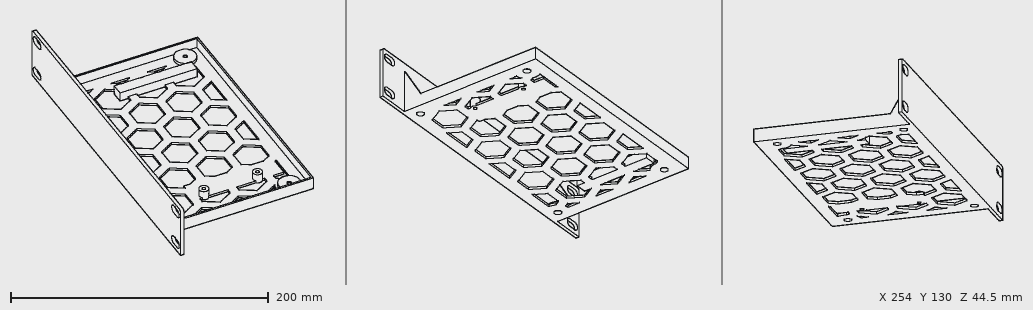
import cadquery as cq
import math

PANEL_WIDTH = 254.0
PANEL_HEIGHT = 44.5
PANEL_THICKNESS = 3.0
PANEL_CORNER_RADIUS = 2.0

SLOT_LENGTH = 13.0
SLOT_DIAMETER = 6.9
SLOT_INSET = 8.6
SLOT_LOW_Z = 7.4
SLOT_HIGH_Z = 37.5

TRAY_WIDTH = 198.0
TRAY_BACK = 130.0
WALL_HEIGHT = 10.7
WALL_THICKNESS = 1.5
FLOOR_THICKNESS = 2.0
GUSSET_BACK = 18.5
GUSSET_TOP = 37.0

HEX_FLATS = 24.5
HEX_PITCH = 32.0
HEX_COLUMN_PITCH = HEX_PITCH * math.cos(math.radians(30))
HEX_COLUMNS = 8
HEX_ROWS = 5
VENT_WIDTH = 175.3
VENT_FRONT = 10.5
VENT_BACK = 119.5
VENT_CENTRE = (VENT_FRONT + VENT_BACK) / 2

BOSS_DIAMETER = 18.0
BOSS_LAND_DIAMETER = 22.0
BOSS_HOLE_DIAMETER = 3.3
BOSS_TOP = 4.5
SCREW_HEAD_DIAMETER = 6.0
SCREW_HEAD_DEPTH = 3.5
BOSS_X = 89.0
BOSS_FRONT_Y = 11.0
BOSS_BACK_Y = 114.0
BOSS_CENTRES = [(x, y) for x in (-BOSS_X, BOSS_X) for y in (BOSS_FRONT_Y, BOSS_BACK_Y)]

STANDOFF_DIAMETER = 8.0
STANDOFF_HOLE_DIAMETER = 2.8
STANDOFF_TOP = 8.1
STANDOFF_X = 69.5
STANDOFF_CENTRES = [(STANDOFF_X, 49.5), (STANDOFF_X, 96.3)]
PATCH_X = (52.5, 72.5)
PATCH_Y = (40.6, 117.9)

BAR_X = (-76.7, -66.8)
BAR_Y = (46.0, 113.3)
BAR_TOP = 8.1


def block(x_range, y_range, z_range):
    """Box spanning the given ranges."""
    size = [high - low for low, high in (x_range, y_range, z_range)]
    corner = (x_range[0], y_range[0], z_range[0])
    return cq.Workplane("XY").box(*size, centered=False).translate(corner)


def cylinders(centres, diameter, height):
    """Upright cylinders rising from the level of the tray underside."""
    return cq.Workplane("XY").pushPoints(centres).circle(diameter / 2).extrude(height)


def front_panel():
    """Panel with rounded upper corners and four rack slots."""
    panel = block((-PANEL_WIDTH / 2, PANEL_WIDTH / 2), (0, PANEL_THICKNESS), (0, PANEL_HEIGHT))
    panel = panel.edges("|Y and >Z").fillet(PANEL_CORNER_RADIUS)
    slot_x = PANEL_WIDTH / 2 - SLOT_INSET
    slot_centres = [(x, z) for x in (-slot_x, slot_x) for z in (SLOT_LOW_Z, SLOT_HIGH_Z)]
    slots = (
        cq.Workplane("XZ")
        .pushPoints(slot_centres)
        .slot2D(SLOT_LENGTH, SLOT_DIAMETER)
        .extrude(-PANEL_THICKNESS)
    )
    return panel.cut(slots)


def vents():
    """Honeycomb openings, trimmed to the vent area and kept clear of the solid floor."""
    corner_diameter = HEX_FLATS / math.cos(math.radians(30))
    centres = []
    for column in range(HEX_COLUMNS):
        x = (column - (HEX_COLUMNS - 1) / 2) * HEX_COLUMN_PITCH
        stagger = HEX_PITCH / 4 if column % 2 else -HEX_PITCH / 4
        for row in range(HEX_ROWS):
            y = VENT_CENTRE + stagger + (row - (HEX_ROWS - 1) / 2) * HEX_PITCH
            centres.append((x, y))
    hexagons = cq.Workplane("XY").pushPoints(centres).polygon(6, corner_diameter).extrude(FLOOR_THICKNESS)
    area = block((-VENT_WIDTH / 2, VENT_WIDTH / 2), (VENT_FRONT, VENT_BACK), (0, FLOOR_THICKNESS))
    lands = cylinders(BOSS_CENTRES, BOSS_LAND_DIAMETER, FLOOR_THICKNESS)
    patch = block(PATCH_X, PATCH_Y, (0, FLOOR_THICKNESS))
    return hexagons.intersect(area).cut(lands).cut(patch)


def side_wall(x_left):
    """Side wall that rises in a gusset towards the panel."""
    outline = [
        (0, 0),
        (TRAY_BACK, 0),
        (TRAY_BACK, WALL_HEIGHT),
        (GUSSET_BACK, WALL_HEIGHT),
        (PANEL_THICKNESS, GUSSET_TOP),
        (0, GUSSET_TOP),
    ]
    return cq.Workplane("YZ", origin=(x_left, 0, 0)).polyline(outline).close().extrude(WALL_THICKNESS)


def tray():
    """Vented floor with side walls and a back wall."""
    half_width = TRAY_WIDTH / 2
    across = (-half_width, half_width)
    floor = block(across, (0, TRAY_BACK), (0, FLOOR_THICKNESS)).cut(vents())
    back_wall = block(across, (TRAY_BACK - WALL_THICKNESS, TRAY_BACK), (0, WALL_HEIGHT))
    left_wall = side_wall(-half_width)
    right_wall = side_wall(half_width - WALL_THICKNESS)
    return floor.union(back_wall).union(left_wall).union(right_wall)


result = tray().union(front_panel())
result = result.union(block(BAR_X, BAR_Y, (0, BAR_TOP)))

result = result.union(cylinders(BOSS_CENTRES, BOSS_DIAMETER, BOSS_TOP))
result = result.cut(cylinders(BOSS_CENTRES, BOSS_HOLE_DIAMETER, BOSS_TOP))
result = result.cut(cylinders(BOSS_CENTRES, SCREW_HEAD_DIAMETER, SCREW_HEAD_DEPTH))

result = result.union(cylinders(STANDOFF_CENTRES, STANDOFF_DIAMETER, STANDOFF_TOP))
result = result.cut(cylinders(STANDOFF_CENTRES, STANDOFF_HOLE_DIAMETER, STANDOFF_TOP))